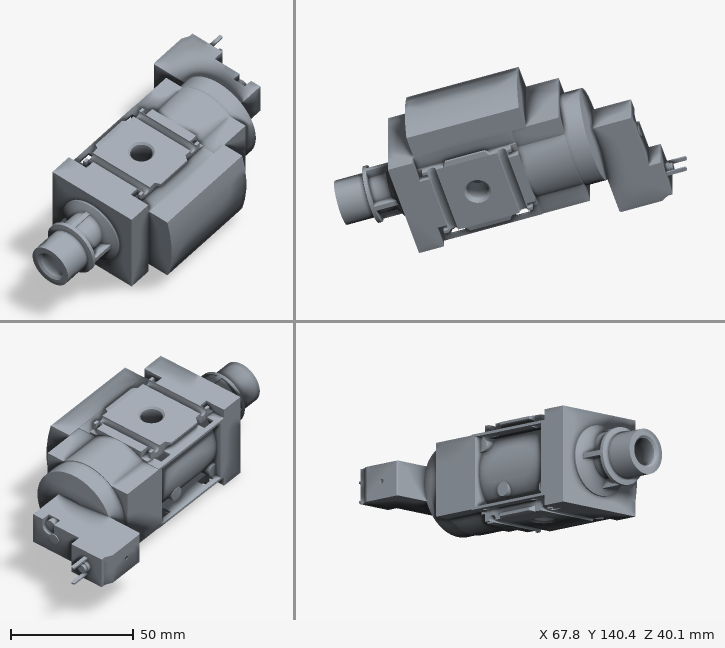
import cadquery as cq

TOTAL_LENGTH = 140.4
FLANGE_FRONT = 12.4
FLANGE_BACK = 14.5
CONE_FRONT = 22.0
CONE_BACK = 26.0
BODY_FRONT = 26.8
PORT_FRONT = 37.5
PORT_BACK = 79.7
HEAD_BACK = 100.0
DISK_BACK = 108.5
BLOCK_STEP = 126.6
BLOCK_BACK = 131.6
PORT_MIDDLE = (PORT_FRONT + PORT_BACK) / 2

BODY_WIDTH = 42.0
BODY_HEIGHT = 40.1
HALF_WIDTH = BODY_WIDTH / 2
HALF_HEIGHT = BODY_HEIGHT / 2
HEAD_SIDE_HEIGHT = 30.9
HEAD_DIAMETER = 39.9
SHELF_Z = 15.7
PAD_WIDTH = 30.3
HALF_PAD = PAD_WIDTH / 2

PORT_DIAMETER = 9.3
PORT_MOUTH_DIAMETER = 11.0
PORT_DEPTH = 14.0
GROOVE_WIDTH = 3.8
GROOVE_DEPTH = 2.2
GROOVE_SPACING = 30.0
NOTCH_LENGTH = 4.0
NOTCH_WIDTH = 3.5
NOTCH_FLOOR_Z = 16.7
NOTCH_POST_WIDTH = 1.3
NOTCH_POST_LENGTH = 2.0
TAB_REACH = 2.1
TAB_LENGTH = 19.8
TAB_END_TAPER = 1.4
TAB_TOP_DROP = 0.4
TAB_EDGE_HEIGHT = 1.0
TAB_ROOT_HEIGHT = 2.5

RECESS_LENGTH = 37.9
RECESS_HEIGHT = 29.2
RECESS_FLOOR_X = -11.2
CORE_DIAMETER = 37.6
WINDOW_LENGTH = 6.0
WINDOW_OUTER_X = -18.8
WINDOW_PAD_BITE = 0.1
WINDOW_OFFSETS = (-14.2, 13.8)
CORNER_BOSS_DIAMETER = 5.0
CORNER_BOSS_X = -18.2
CORNER_BOSS_OFFSET_Y = 17.5
CORNER_BOSS_Z = 11.1
SIDE_BOSS_DIAMETER = 6.0
SIDE_BOSS_X = -18.1
SIDE_BOSS_Y = 64.5
SIDE_BOSS_Z = -8.7

GAUGE_FACE_X = 33.0
GAUGE_EDGE_X = 30.7
GAUGE_HEIGHT = 31.7
GAUGE_FRONT = 37.9
GAUGE_BACK = 86.0

TUBE_DIAMETER = 18.8
BORE_DIAMETER = 11.5
BORE_MOUTH_DIAMETER = 13.3
BORE_DEPTH = 28.0
FLANGE_DIAMETER = 24.0
FLANGE_TAPER_LENGTH = 0.5
HUB_DIAMETER = 17.1
HUB_BULGE_DIAMETER = 16.3
HUB_BULGE_X = 0.5
HUB_BULGE_Z = 3.4
CONE_DIAMETER = 29.3
RIB_THICKNESS = 2.1

DISK_DIAMETER = 39.0
CAP_DIAMETER = 17.7
CAP_HEIGHT = 1.7
BLOCK_LEFT = -34.8
BLOCK_RIGHT = 7.0
BLOCK_HEIGHT = 14.6
BLOCK_CORNER = 0.5
TOWER_RIGHT = -17.1
TOWER_LEFT = -33.1
TOWER_SLOPE_TOP = 129.7
PIN_X = -24.8
PIN_WIDTH = 1.7
PIN_THICKNESS = 0.8
PIN_SPACING = 8.1
PIN_TIP_CHAMFER = 0.4
STUD_DIAMETERS = (4.8, 3.8)
STUD_STEPS = (1.5, 1.4)
LAMP_DIAMETER = 2.0
LAMP_DEPTH = 0.7
LAMP_Y = 117.6
SCREW_POCKET_X = -1.0
SCREW_POCKET_WIDTH = 6.0
SCREW_POCKET_DEPTH = 3.9
SCREW_POCKET_Z = 3.9
SCREW_DIAMETER = 5.5
SCREW_HEIGHT = 2.4
BUTTON_DIAMETER = 4.8
BUTTON_HEIGHT = 0.4
BUTTON_X = -4.2


def box(x_range, y_range, z_range):
    """Box given by its lower and upper limit on each axis."""
    sizes = [high - low for low, high in (x_range, y_range, z_range)]
    corner = (x_range[0], y_range[0], z_range[0])
    return cq.Workplane("XY").box(*sizes, centered=False).translate(corner)


def rod_y(diameter, start, end, x=0.0, z=0.0):
    """Cylinder parallel to Y."""
    return cq.Workplane("XZ", origin=(x, start, z)).circle(diameter / 2).extrude(start - end)


def rod_x(diameter, start, end, y, z):
    """Cylinder parallel to X."""
    return cq.Workplane("YZ", origin=(start, y, z)).circle(diameter / 2).extrude(end - start)


def turned(profile):
    """Solid of revolution about Y from (radius, y) points."""
    return cq.Workplane("XY").polyline(profile).close().revolve(360, (0, 0, 0), (0, 1, 0))


def both_faces(shape):
    """Shape together with its mirror image on the -Z face."""
    return shape.union(shape.mirror("XY"))


def half_turn(shape):
    """Shape turned half a turn about the X line through the middle of the port section."""
    return shape.rotate((0, PORT_MIDDLE, 0), (1, PORT_MIDDLE, 0), 180)


def make_body():
    """End block, port section and rounded head, without the recess."""
    width = (-HALF_WIDTH, HALF_WIDTH)
    side = HEAD_SIDE_HEIGHT / 2
    body = box(width, (BODY_FRONT, PORT_FRONT), (-HALF_HEIGHT, HALF_HEIGHT))
    body = body.union(box(width, (PORT_FRONT, PORT_BACK), (-SHELF_Z, SHELF_Z)))
    body = body.union(box(width, (PORT_BACK, HEAD_BACK), (-side, side)))
    return body.union(rod_y(HEAD_DIAMETER, PORT_BACK, HEAD_BACK))


def make_notch(side, end):
    """Corner notch of a pad; side and end are +1 or -1 for its X and Y corner."""
    inner_x = HALF_PAD - NOTCH_WIDTH
    post_x = HALF_PAD - NOTCH_POST_WIDTH
    outer_y = (PORT_BACK - PORT_FRONT) / 2
    post_y = outer_y - NOTCH_LENGTH + NOTCH_POST_LENGTH
    inner_y = outer_y - NOTCH_LENGTH
    outline = [
        (inner_x, outer_y),
        (HALF_PAD, outer_y),
        (HALF_PAD, post_y),
        (post_x, post_y),
        (post_x, inner_y),
        (inner_x, inner_y),
    ]
    points = [(side * x, PORT_MIDDLE + end * y) for x, y in outline]
    depth = HALF_HEIGHT - NOTCH_FLOOR_Z
    return cq.Workplane("XY", origin=(0, 0, NOTCH_FLOOR_Z)).polyline(points).close().extrude(depth)


def make_groove(y):
    """Round-bottomed groove across a pad."""
    radius = GROOVE_WIDTH / 2
    axis_z = HALF_HEIGHT - GROOVE_DEPTH + radius
    wall = box((-HALF_PAD, HALF_PAD), (y - radius, y + radius), (axis_z, HALF_HEIGHT))
    return wall.union(rod_x(GROOVE_WIDTH, -HALF_PAD, HALF_PAD, y, axis_z))


def make_tabs():
    """Thin tapered lips on both sides of a pad."""
    reach_x = HALF_PAD + TAB_REACH
    tip_top = HALF_HEIGHT - TAB_TOP_DROP
    tip_bottom = tip_top - TAB_EDGE_HEIGHT
    root_bottom = HALF_HEIGHT - TAB_ROOT_HEIGHT
    section = [
        (-HALF_PAD, HALF_HEIGHT),
        (HALF_PAD, HALF_HEIGHT),
        (reach_x, tip_top),
        (reach_x, tip_bottom),
        (HALF_PAD, root_bottom),
        (-HALF_PAD, root_bottom),
        (-reach_x, tip_bottom),
        (-reach_x, tip_top),
    ]
    root = TAB_LENGTH / 2
    tip = root - TAB_END_TAPER
    outline = [
        (-HALF_PAD, root),
        (HALF_PAD, root),
        (reach_x, tip),
        (reach_x, -tip),
        (HALF_PAD, -root),
        (-HALF_PAD, -root),
        (-reach_x, -tip),
        (-reach_x, tip),
    ]
    start = (0, PORT_MIDDLE - root, 0)
    lips = cq.Workplane("XZ", origin=start).polyline(section).close().extrude(-TAB_LENGTH)
    plan = cq.Workplane("XY", origin=(0, PORT_MIDDLE, 0)).polyline(outline).close().extrude(HALF_HEIGHT)
    return lips.intersect(plan)


def make_pad():
    """Raised pad on the +Z face with lips, notches and grooves."""
    pad = box((-HALF_PAD, HALF_PAD), (PORT_FRONT, PORT_BACK), (SHELF_Z, HALF_HEIGHT))
    pad = pad.union(make_tabs())
    for end in (-1, 1):
        pad = pad.cut(make_groove(PORT_MIDDLE + end * GROOVE_SPACING / 2))
        for side in (-1, 1):
            pad = pad.cut(make_notch(side, end))
    return pad


def make_port():
    """Blind port with a countersunk mouth, as a cutting shape."""
    mouth = (PORT_MOUTH_DIAMETER - PORT_DIAMETER) / 2
    top = (0, PORT_MIDDLE, HALF_HEIGHT)
    port = cq.Workplane("XY", origin=top).circle(PORT_DIAMETER / 2).extrude(-PORT_DEPTH)
    cone = cq.Solid.makeCone(
        PORT_DIAMETER / 2,
        PORT_MOUTH_DIAMETER / 2,
        mouth,
        cq.Vector(0, PORT_MIDDLE, HALF_HEIGHT - mouth),
    )
    return port.union(cq.Workplane(cone))


def make_recess():
    """Material removed from the -X side around the rounded core."""
    half_length = RECESS_LENGTH / 2
    half_height = RECESS_HEIGHT / 2
    recess = box(
        (-HALF_WIDTH, RECESS_FLOOR_X),
        (PORT_MIDDLE - half_length, PORT_MIDDLE + half_length),
        (-half_height, half_height),
    )
    core = rod_y(CORE_DIAMETER, PORT_FRONT, PORT_BACK)
    return recess.cut(core)


def make_windows():
    """Openings through the thin shelves into the recess, reaching slightly into the pad sides."""
    core = rod_y(CORE_DIAMETER, PORT_FRONT, PORT_BACK)
    x_range = (WINDOW_OUTER_X, WINDOW_PAD_BITE - HALF_PAD)
    windows = cq.Workplane("XY")
    for offset in WINDOW_OFFSETS:
        middle = PORT_MIDDLE + offset
        y_range = (middle - WINDOW_LENGTH / 2, middle + WINDOW_LENGTH / 2)
        windows = windows.union(box(x_range, y_range, (0, HALF_HEIGHT)))
    return both_faces(windows.cut(core))


def make_recess_bosses():
    """Flat-faced bosses standing in the recess."""
    radius = CORNER_BOSS_DIAMETER / 2
    corner_y = PORT_MIDDLE + CORNER_BOSS_OFFSET_Y
    recess_end = PORT_MIDDLE + RECESS_LENGTH / 2
    x_range = (CORNER_BOSS_X, RECESS_FLOOR_X)
    corner = rod_x(CORNER_BOSS_DIAMETER, *x_range, corner_y, CORNER_BOSS_Z)
    window_end = PORT_MIDDLE + max(WINDOW_OFFSETS) + WINDOW_LENGTH / 2
    corner = corner.union(box(x_range, (window_end, recess_end), (CORNER_BOSS_Z, RECESS_HEIGHT / 2)))
    foot_z = (CORNER_BOSS_Z - radius, CORNER_BOSS_Z)
    corner = corner.union(box(x_range, (corner_y, recess_end), foot_z))
    side = rod_x(SIDE_BOSS_DIAMETER, SIDE_BOSS_X, RECESS_FLOOR_X, SIDE_BOSS_Y, SIDE_BOSS_Z)
    return corner.union(half_turn(corner)).union(side)


def make_gauge():
    """Block on the +X side with a bulged face."""
    half = GAUGE_HEIGHT / 2
    section = (
        cq.Workplane("XZ", origin=(0, GAUGE_FRONT, 0))
        .moveTo(HALF_WIDTH, -half)
        .lineTo(GAUGE_EDGE_X, -half)
        .threePointArc((GAUGE_FACE_X, 0), (GAUGE_EDGE_X, half))
        .lineTo(HALF_WIDTH, half)
        .close()
    )
    return section.extrude(GAUGE_FRONT - GAUGE_BACK)


def make_nozzle():
    """Outlet tube, flange, ribbed hub and cone."""
    tube_radius = TUBE_DIAMETER / 2
    flange_radius = FLANGE_DIAMETER / 2
    hub_radius = HUB_DIAMETER / 2
    cone_radius = CONE_DIAMETER / 2
    nozzle = turned([
        (0, 0),
        (tube_radius, 0),
        (tube_radius, FLANGE_FRONT),
        (flange_radius, FLANGE_FRONT + FLANGE_TAPER_LENGTH),
        (flange_radius, FLANGE_BACK),
        (hub_radius, FLANGE_BACK),
        (hub_radius, CONE_FRONT),
        (cone_radius, CONE_BACK),
        (cone_radius, BODY_FRONT),
        (0, BODY_FRONT),
    ])
    bulge = rod_y(HUB_BULGE_DIAMETER, FLANGE_BACK, BODY_FRONT, HUB_BULGE_X, HUB_BULGE_Z)
    nozzle = nozzle.union(bulge)
    along = (FLANGE_BACK, BODY_FRONT)
    across = (-flange_radius, flange_radius)
    thin = (-RIB_THICKNESS / 2, RIB_THICKNESS / 2)
    return nozzle.union(box(across, along, thin)).union(box(thin, along, across))


def make_bore():
    """Blind bore of the outlet tube with a countersunk mouth, as a cutting shape."""
    radius = BORE_DIAMETER / 2
    mouth_radius = BORE_MOUTH_DIAMETER / 2
    return turned([
        (0, 0),
        (mouth_radius, 0),
        (radius, mouth_radius - radius),
        (radius, BORE_DEPTH),
        (0, BORE_DEPTH),
    ])


def make_disk():
    """Round solenoid base with a shallow conical cap."""
    disk_radius = DISK_DIAMETER / 2
    cap_end = DISK_BACK + CAP_HEIGHT
    return turned([
        (0, HEAD_BACK),
        (disk_radius, HEAD_BACK),
        (disk_radius, DISK_BACK),
        (CAP_DIAMETER / 2, cap_end),
        (0, cap_end),
    ])


def make_block():
    """Stepped solenoid block with screw pocket, lamp hole and button."""
    half = BLOCK_HEIGHT / 2
    outline = [
        (BLOCK_LEFT + BLOCK_CORNER, DISK_BACK),
        (BLOCK_RIGHT, DISK_BACK),
        (BLOCK_RIGHT, BLOCK_STEP),
        (TOWER_RIGHT, BLOCK_STEP),
        (TOWER_RIGHT, BLOCK_BACK),
        (TOWER_LEFT, BLOCK_BACK),
        (TOWER_LEFT, TOWER_SLOPE_TOP),
        (BLOCK_LEFT, BLOCK_STEP),
        (BLOCK_LEFT, DISK_BACK + BLOCK_CORNER),
    ]
    block = cq.Workplane("XY", origin=(0, 0, -half)).polyline(outline).close().extrude(BLOCK_HEIGHT)
    pocket_side = SCREW_POCKET_WIDTH / 2
    pocket_floor = BLOCK_STEP - SCREW_POCKET_DEPTH
    axis = (SCREW_POCKET_X, SCREW_POCKET_Z)
    pocket = box(
        (SCREW_POCKET_X - pocket_side, SCREW_POCKET_X + pocket_side),
        (pocket_floor, BLOCK_STEP),
        (SCREW_POCKET_Z, half),
    )
    pocket = pocket.union(rod_y(SCREW_POCKET_WIDTH, pocket_floor, BLOCK_STEP, *axis))
    screw = rod_y(SCREW_DIAMETER, pocket_floor, pocket_floor + SCREW_HEIGHT, *axis)
    block = block.cut(pocket).union(screw)
    block = block.union(rod_y(BUTTON_DIAMETER, BLOCK_STEP, BLOCK_STEP + BUTTON_HEIGHT, BUTTON_X))
    return block.cut(rod_x(LAMP_DIAMETER, BLOCK_LEFT, BLOCK_LEFT + LAMP_DEPTH, LAMP_Y, 0))


def make_contacts():
    """Two flat contact pins and the stepped stud between them."""
    contacts = cq.Workplane("XY")
    half_width = PIN_WIDTH / 2
    half_thickness = PIN_THICKNESS / 2
    for z in (-PIN_SPACING / 2, PIN_SPACING / 2):
        pin = box(
            (PIN_X - half_width, PIN_X + half_width),
            (BLOCK_BACK, TOTAL_LENGTH),
            (z - half_thickness, z + half_thickness),
        )
        contacts = contacts.union(pin.faces(">Y").edges("|Z").chamfer(PIN_TIP_CHAMFER))
    start = BLOCK_BACK
    for diameter, step in zip(STUD_DIAMETERS, STUD_STEPS):
        contacts = contacts.union(rod_y(diameter, start, start + step, PIN_X))
        start += step
    return contacts


result = (
    make_body()
    .cut(make_recess())
    .union(both_faces(make_pad()))
    .cut(make_windows())
    .union(make_recess_bosses())
    .cut(both_faces(make_port()))
    .union(make_gauge())
    .union(make_nozzle())
    .cut(make_bore())
    .union(make_disk())
    .union(make_block())
    .union(make_contacts())
)